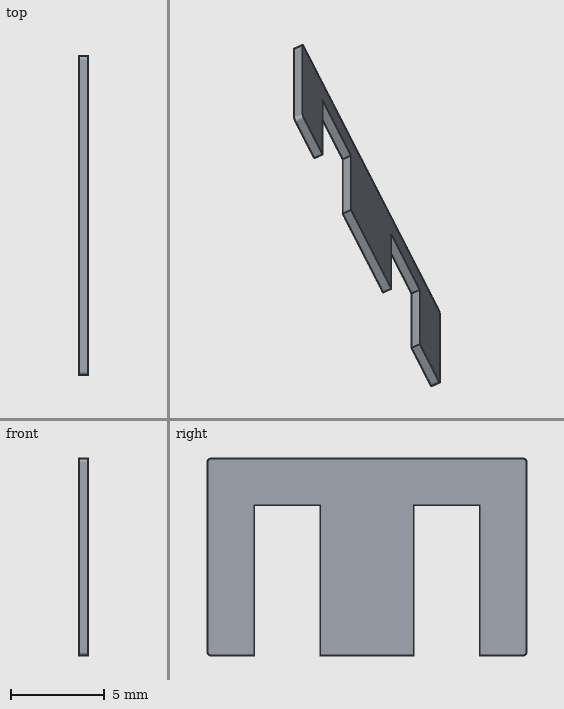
import cadquery as cq

thickness = 0.5
width = 17.0
height = 10.5
outer_leg_width = 2.5
center_leg_width = 2 * outer_leg_width
yoke_height = outer_leg_width
corner_radius = 0.2

window_width = (width - center_leg_width) / 2 - outer_leg_width
window_height = height - yoke_height
window_offset = (center_leg_width + window_width) / 2


def make_plate():
    """Flat plate with its four outer corners rounded."""
    plate = cq.Workplane("XY").box(thickness, width, height)
    return plate.edges("|X").fillet(corner_radius)


def make_window(center_y):
    """Block that clears one window through the thickness."""
    center_z = -yoke_height / 2
    window = cq.Workplane("XY").box(thickness, window_width, window_height)
    return window.translate((0, center_y, center_z))


result = make_plate()
for side in (-1, 1):
    result = result.cut(make_window(side * window_offset))